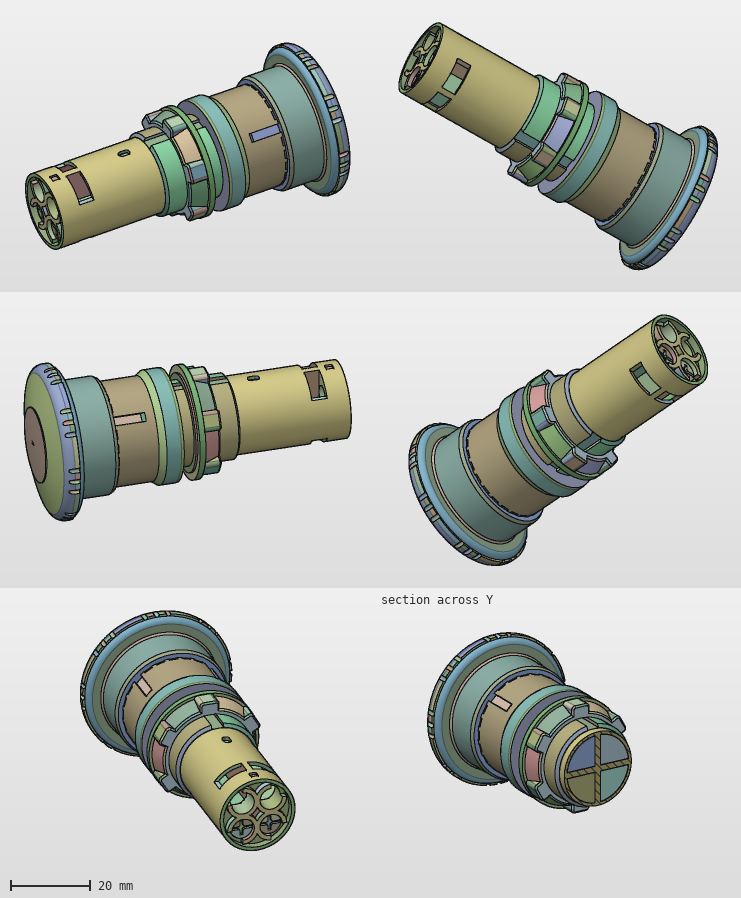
import cadquery as cq


HEAD_R = 19.99
HEAD_TOP_Y = 35.15
PLATEAU_R = 9.65
PLATEAU_EDGE_Y = 34.85
PLATEAU_MID = (4.8, 35.08)
PLATEAU_BASE_Y = 34.55
DOME_MID = (14.0, 33.6)
DOME_EDGE = (18.0, 32.5)
RIM_TOP_Y = 30.0
RIM_BOTTOM_Y = 28.7
UNDER_R = 19.4
UNDER_Y = 27.2
UNDER_ROUND = RIM_BOTTOM_Y - UNDER_Y
UNDER_FLAT_R = UNDER_R - UNDER_ROUND
SKIRT_R = 15.15
SKIRT_FLARE = 0.5
SKIRT_END_R = 14.65
SKIRT_CHAMFER_Y = 18.1
SKIRT_END_Y = 17.15
GRIP_R = 0.58
GRIP_GROUPS = 8
GRIP_ANGLES = (-9.0, 0.0, 9.0)

SLEEVE_R = 13.5
SEAT_R = 14.7
SEAT_Y = 0.0
SEAT_CONE_Y = (6.25, 4.55)
SEAT_LIP_R = 14.6
SEAT_LIP_Y = 0.75
NOTCH_COUNT = 24
NOTCH_WIDTH = 2.3
NOTCH_LENGTH = 0.5
NOTCH_DEPTH = 0.15
SLOT_WIDTH = 2.3
SLOT_DEPTH = 0.9
SLOT_END_Y = 8.7
SLOT_ANGLES = (-45, 45)
BARREL_R = 11.05
BARREL_END_R = 10.15
BARREL_CHAMFER_Y = -15.3
BARREL_END_Y = -15.9
KEYWAY_WIDTH = 3.2

NUT_BACK_Y = -3.6
NUT_BACK_R = 12.75
NUT_STEP_Y = -4.1
NUT_R = 14.7
NUT_POCKET_Y = -5.65
NUT_END_Y = -10.15
NUT_CONE_R = (13.9, 12.45)
NUT_BEVEL = 0.45
LUG_COUNT = 6
LUG_WIDTH = 5.2
LUG_R = 14.5
LUG_ROUND = 1.0

BLOCK_R = 10.05
BLOCK_BORE_R = 9.1
BLOCK_END_Y = -45.05
FACE_RECESS = 2.0
TERMINAL_RECESS = 0.3
TERMINAL_OFFSET = 3.75
TERMINAL_R = 4.17
TERMINAL_HOLE_R = 2.97
SCREW_RECESS = 1.5
SCREW_SLOT_WIDTH = 0.75
SCREW_SLOT_DEPTH = 0.8
SCREW_CROSS_LENGTH = 3.95
SCREW_CROSS_CORE = 1.6
WINDOW_Y = (-39.3, -35.3)
WINDOW_LOW_Z = 5.93
PARTITION = 1.7
CAVITY_BACK_Y = -18.0
POCKET_WIDTH = 1.9
KEY_SLOT_Y = (-23.8, -20.8)
KEY_SLOT_DEPTH = 1.0
KEY_SLOT_ROUND = 0.85
KEY_SQUARE_Y = (-43.1, -41.15)
KEY_SQUARE_DEPTH = 0.6


def turn(profile):
    """Revolve a closed XY half-profile about the Y axis."""
    return profile.close().revolve(360, (0, 0), (0, 1))


def disc(radius, y_low, y_high, x=0, z=0):
    """Cylinder along Y between two Y values."""
    start = cq.Workplane("XZ", origin=(x, y_low, z))
    return start.circle(radius).extrude(y_low - y_high)


def block(x_range, y_range, z_range):
    """Box given by its limits along X, Y and Z."""
    sizes = [high - low for low, high in (x_range, y_range, z_range)]
    corner = (x_range[0], y_range[0], z_range[0])
    return cq.Workplane("XY").box(*sizes, centered=False).translate(corner)


def spin(shape, angle):
    """Rotate a shape about the Y axis."""
    return shape.rotate((0, 0, 0), (0, 1, 0), angle)


def make_head():
    head = turn(
        cq.Workplane("XY")
        .moveTo(0, HEAD_TOP_Y)
        .threePointArc(PLATEAU_MID, (PLATEAU_R, PLATEAU_EDGE_Y))
        .lineTo(PLATEAU_R, PLATEAU_BASE_Y)
        .threePointArc(DOME_MID, DOME_EDGE)
        .tangentArcPoint((HEAD_R, RIM_TOP_Y), relative=False)
        .lineTo(HEAD_R, RIM_BOTTOM_Y)
        .lineTo(UNDER_R, RIM_BOTTOM_Y)
        .radiusArc((UNDER_FLAT_R, UNDER_Y), UNDER_ROUND)
        .lineTo(SKIRT_R + SKIRT_FLARE, UNDER_Y)
        .lineTo(SKIRT_R, UNDER_Y - SKIRT_FLARE)
        .lineTo(SKIRT_R, SKIRT_CHAMFER_Y)
        .lineTo(SKIRT_END_R, SKIRT_END_Y)
        .lineTo(0, SKIRT_END_Y)
    )
    groove = disc(GRIP_R, RIM_BOTTOM_Y, HEAD_TOP_Y, z=HEAD_R)
    for group in range(GRIP_GROUPS):
        for offset in GRIP_ANGLES:
            head = head.cut(spin(groove, group * 360 / GRIP_GROUPS + offset))
    return head


def make_sleeve_slot():
    """Longitudinal slot at the top of the sleeve, with a sloping end."""
    floor = SLEEVE_R - SLOT_DEPTH
    return (
        cq.Workplane("YZ")
        .moveTo(SKIRT_END_Y, floor)
        .lineTo(SLOT_END_Y + SLOT_DEPTH, floor)
        .lineTo(SLOT_END_Y, SLEEVE_R)
        .lineTo(SKIRT_END_Y, SLEEVE_R)
        .close()
        .extrude(SLOT_WIDTH / 2, both=True)
    )


def make_housing():
    housing = turn(
        cq.Workplane("XY")
        .moveTo(0, SKIRT_END_Y)
        .lineTo(SLEEVE_R, SKIRT_END_Y)
        .lineTo(SLEEVE_R, SEAT_CONE_Y[0])
        .lineTo(SEAT_R, SEAT_CONE_Y[1])
        .lineTo(SEAT_R, SEAT_LIP_Y)
        .lineTo(SEAT_LIP_R, SEAT_Y)
        .lineTo(BARREL_R, SEAT_Y)
        .lineTo(BARREL_R, BARREL_CHAMFER_Y)
        .lineTo(BARREL_END_R, BARREL_END_Y)
        .lineTo(0, BARREL_END_Y)
    )
    notch = block(
        (-NOTCH_WIDTH / 2, NOTCH_WIDTH / 2),
        (SKIRT_END_Y - NOTCH_LENGTH, SKIRT_END_Y),
        (SLEEVE_R - NOTCH_DEPTH, SLEEVE_R),
    )
    for i in range(NOTCH_COUNT):
        housing = housing.cut(spin(notch, i * 360 / NOTCH_COUNT))
    slot = make_sleeve_slot()
    for angle in SLOT_ANGLES:
        housing = housing.cut(spin(slot, angle))
    keyway = block(
        (-KEYWAY_WIDTH / 2, KEYWAY_WIDTH / 2),
        (BARREL_END_Y, SEAT_Y),
        (BLOCK_R, BARREL_R),
    )
    for angle in (0, 180):
        housing = housing.cut(spin(keyway, angle))
    return housing


def make_nut():
    bevel_y = NUT_END_Y + NUT_BEVEL
    nut = turn(
        cq.Workplane("XY")
        .moveTo(0, NUT_BACK_Y)
        .lineTo(NUT_BACK_R, NUT_BACK_Y)
        .lineTo(NUT_BACK_R, NUT_STEP_Y)
        .lineTo(NUT_R, NUT_STEP_Y)
        .lineTo(NUT_R, NUT_POCKET_Y)
        .lineTo(NUT_CONE_R[0], NUT_POCKET_Y)
        .lineTo(NUT_CONE_R[1], bevel_y)
        .lineTo(NUT_CONE_R[1] - NUT_BEVEL, NUT_END_Y)
        .lineTo(0, NUT_END_Y)
    )
    lug = (
        block((-LUG_WIDTH / 2, LUG_WIDTH / 2), (NUT_END_Y, NUT_POCKET_Y), (0, LUG_R))
        .edges("|Y and >Z")
        .fillet(LUG_ROUND)
        .faces("<Y")
        .edges("not <Z")
        .chamfer(NUT_BEVEL)
    )
    for i in range(LUG_COUNT):
        nut = nut.union(spin(lug, i * 360 / LUG_COUNT))
    return nut.cut(disc(BARREL_R, NUT_END_Y, NUT_BACK_Y))


def make_terminal_collar(side, level):
    """Ring around a terminal, open in the quadrant that faces outwards."""
    x = side * TERMINAL_OFFSET
    z = level * TERMINAL_OFFSET
    y_range = (BLOCK_END_Y + TERMINAL_RECESS, BLOCK_END_Y + FACE_RECESS)
    opening = block((0, BLOCK_R), y_range, (0, BLOCK_R))
    if side < 0:
        opening = opening.mirror("YZ")
    if level < 0:
        opening = opening.mirror("XY")
    return disc(TERMINAL_R, *y_range, x=x, z=z).cut(opening.translate((x, 0, z)))


def make_screw_drive(side):
    """Slot and cross recess in the head of a terminal screw."""
    face_y = BLOCK_END_Y + SCREW_RECESS
    y_range = (face_y, face_y + SCREW_SLOT_DEPTH)
    half_width = SCREW_SLOT_WIDTH / 2
    half_cross = SCREW_CROSS_LENGTH / 2
    half_core = SCREW_CROSS_CORE / 2
    slot = block((-TERMINAL_HOLE_R, TERMINAL_HOLE_R), y_range, (-half_width, half_width))
    cross = block((-half_width, half_width), y_range, (-half_cross, half_cross))
    core = spin(block((-half_core, half_core), y_range, (-half_core, half_core)), 45)
    return slot.union(cross).union(core).translate((side * TERMINAL_OFFSET, 0, -TERMINAL_OFFSET))


def make_cavity():
    """Hollow behind the terminals, split into four chambers by a cross-shaped partition."""
    y_range = (WINDOW_Y[0], CAVITY_BACK_Y)
    thin = (-PARTITION / 2, PARTITION / 2)
    wide = (-BLOCK_R, BLOCK_R)
    hollow = disc(BLOCK_BORE_R, *y_range)
    return hollow.cut(block(thin, y_range, wide)).cut(block(wide, y_range, thin))


def make_contact_block():
    contact = disc(BLOCK_R, BLOCK_END_Y, BARREL_END_Y)

    contact = contact.cut(disc(BLOCK_BORE_R, BLOCK_END_Y, BLOCK_END_Y + FACE_RECESS))
    for side in (-1, 1):
        for level in (-1, 1):
            contact = contact.union(make_terminal_collar(side, level))

    contact = contact.cut(make_cavity())
    for side in (-1, 1):
        x = side * TERMINAL_OFFSET
        wire_entry = disc(TERMINAL_HOLE_R, BLOCK_END_Y, WINDOW_Y[0], x=x, z=TERMINAL_OFFSET)
        screw_well = disc(
            TERMINAL_HOLE_R, BLOCK_END_Y, BLOCK_END_Y + SCREW_RECESS, x=x, z=-TERMINAL_OFFSET
        )
        screw_head = disc(
            TERMINAL_HOLE_R,
            BLOCK_END_Y + SCREW_RECESS,
            BLOCK_END_Y + FACE_RECESS,
            x=x,
            z=-TERMINAL_OFFSET,
        )
        contact = contact.cut(wire_entry).cut(screw_well).union(screw_head)
        contact = contact.cut(make_screw_drive(side))

    window = block((PARTITION / 2, BLOCK_R), WINDOW_Y, (WINDOW_LOW_Z, BLOCK_R))
    for shape in (window, window.mirror("YZ")):
        contact = contact.cut(shape).cut(shape.mirror("XY"))

    slot = (
        block((-POCKET_WIDTH / 2, POCKET_WIDTH / 2), KEY_SLOT_Y, (BLOCK_R - KEY_SLOT_DEPTH, BLOCK_R))
        .edges("|Z")
        .fillet(KEY_SLOT_ROUND)
    )
    square = block(
        (-POCKET_WIDTH / 2, POCKET_WIDTH / 2), KEY_SQUARE_Y, (BLOCK_R - KEY_SQUARE_DEPTH, BLOCK_R)
    )
    return contact.cut(slot).cut(square)


head = make_head()
housing = make_housing()
nut = make_nut()
contact_block = make_contact_block()

result = cq.Compound.makeCompound(
    [head.val(), housing.val(), nut.val(), contact_block.val()]
)